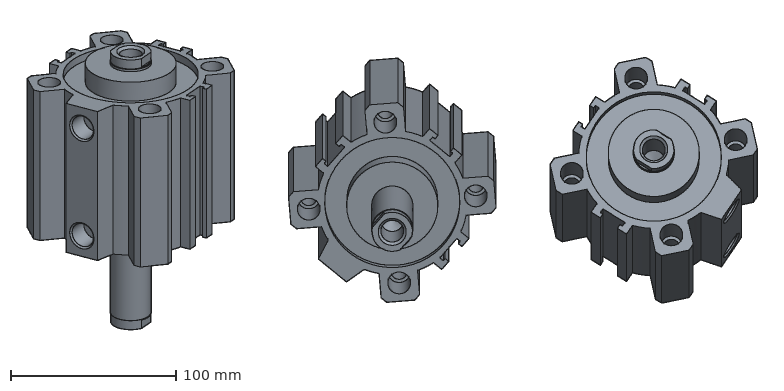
import cadquery as cq
import math


barrel_length = 99.4
barrel_radius = 45.4
half_width = 50.0
recess_radius = 40.9
recess_depth = 5.0
boss_radius = 27.5
boss_height = 7.5

lug_count = 4
lug_width = 23.4
lug_reach = 62.3
screw_offset = 35.8
screw_hole_radius = 4.9
counterbore_radius = 6.8
counterbore_depth = 25.2

rail_angles = (0, 90, 180)
rail_width = 25.5
slot_mouth_width = 12.2
slot_inner_width = 15.8
slot_lip = 2.9
slot_depth = 5.5

foot_reach = 56.0
foot_face_width = 22.3
foot_flank_slope = 0.24
foot_root = 36.0

port_radius = 7.5
port_mouth_radius = 8.6
port_depth = 14.4
port_end_distance = 13.9

rod_length = 180.0
rod_diameter = 25.0
rod_radius = rod_diameter / 2
rod_top_reach = 15.3
tip_radius = 12.2
tip_length = 6.3
tip_chamfer = rod_radius - tip_radius
flat_width = 22.0
flat_length = 5.5

thread_radius = 6.8
thread_mouth_radius = 8.5
thread_depth = 25.2
drill_point_angle = 118

rod_top = barrel_length + rod_top_reach
rod_bottom = rod_top - rod_length
boss_top = barrel_length + boss_height


def cylinder(radius, start, end, x=0, y=0):
    """Solid cylinder along Z between two heights."""
    return cq.Workplane("XY", origin=(x, y, start)).circle(radius).extrude(end - start)


def box_along_x(x_start, x_end, width):
    """Full-height box reaching out along +X, centred on the X axis."""
    length = x_end - x_start
    return cq.Workplane("XY").box(length, width, barrel_length, centered=(False, True, False)).translate(
        (x_start, 0, 0)
    )


def turned(shape, angle):
    """Shape turned about the cylinder axis."""
    return shape.rotate((0, 0, 0), (0, 0, 1), angle)


def add_lugs(body):
    """Diagonal lugs, trimmed flush with the square outline of the housing."""
    outline = cq.Workplane("XY").box(
        2 * half_width, 2 * half_width, barrel_length, centered=(True, True, False)
    )
    lug = box_along_x(0, lug_reach, lug_width)
    for index in range(lug_count):
        angle = 360 / lug_count * (index + 0.5)
        body = body.union(turned(lug, angle).intersect(outline))
    return body


def add_rails(body):
    """Rails, each with an undercut slot along its whole length."""
    rail = box_along_x(0, half_width, rail_width)
    mouth = box_along_x(half_width - slot_depth, half_width, slot_mouth_width)
    undercut = box_along_x(half_width - slot_depth, half_width - slot_lip, slot_inner_width)
    slot = mouth.union(undercut)
    for angle in rail_angles:
        body = body.union(turned(rail, angle)).cut(turned(slot, angle))
    return body


def add_port_foot(body):
    """Tapered foot that carries the two ports."""
    face_half = foot_face_width / 2
    root_half = face_half + foot_flank_slope * (foot_reach - foot_root)
    foot = (
        cq.Workplane("XY")
        .polyline(
            [
                (-face_half, -foot_reach),
                (face_half, -foot_reach),
                (root_half, -foot_root),
                (-root_half, -foot_root),
            ]
        )
        .close()
        .extrude(barrel_length)
    )
    return body.union(foot)


def cut_end_recesses(body):
    """Round recess in both barrel end faces."""
    body = body.cut(cylinder(recess_radius, barrel_length - recess_depth, barrel_length))
    return body.cut(cylinder(recess_radius, 0, recess_depth))


def cut_screw_holes(body):
    """Through hole in every lug, counterbored from both ends."""
    for x in (-screw_offset, screw_offset):
        for y in (-screw_offset, screw_offset):
            body = body.cut(cylinder(screw_hole_radius, 0, barrel_length, x, y))
            body = body.cut(cylinder(counterbore_radius, 0, counterbore_depth, x, y))
            top_start = barrel_length - counterbore_depth
            body = body.cut(cylinder(counterbore_radius, top_start, barrel_length, x, y))
    return body


def cut_ports(body):
    """Blind ports with a chamfered mouth, sunk from the foot face."""
    chamfer = port_mouth_radius - port_radius
    bottom = foot_reach - port_depth
    for height in (port_end_distance, barrel_length - port_end_distance):
        port = (
            cq.Workplane("XY")
            .polyline(
                [
                    (0, -foot_reach),
                    (port_mouth_radius, -foot_reach),
                    (port_radius, -foot_reach + chamfer),
                    (port_radius, -bottom),
                    (0, -bottom),
                ]
            )
            .close()
            .revolve(360, (0, 0, 0), (0, 1, 0))
            .translate((0, 0, height))
        )
        body = body.cut(port)
    return body


def make_housing():
    """Profiled barrel with a round boss at both ends, bored for the rod."""
    body = cylinder(barrel_radius, 0, barrel_length)
    body = add_lugs(body)
    body = add_rails(body)
    body = add_port_foot(body)
    body = cut_end_recesses(body)
    body = body.union(cylinder(boss_radius, -boss_height, boss_top))
    body = cut_screw_holes(body)
    body = cut_ports(body)
    return body.cut(cylinder(rod_radius, -boss_height, boss_top))


def thread_hole():
    """Tapped hole opening upward at z = 0: chamfered mouth and drill point."""
    chamfer = thread_mouth_radius - thread_radius
    point_length = thread_radius / math.tan(math.radians(drill_point_angle / 2))
    return (
        cq.Workplane("XZ")
        .polyline(
            [
                (0, 0),
                (thread_mouth_radius, 0),
                (thread_radius, -chamfer),
                (thread_radius, -thread_depth),
                (0, -thread_depth - point_length),
            ]
        )
        .close()
        .revolve(360, (0, 0, 0), (0, 1, 0))
    )


def wrench_flats():
    """Material removed beside the two flats of a rod end at z = 0."""
    cutter = cylinder(2 * rod_radius, -flat_length, 0)
    core = cq.Workplane("XY").box(flat_width, 4 * rod_radius, 2 * flat_length)
    return cutter.cut(core)


def make_rod():
    """Through rod with the same machined tip at both ends."""
    half_rod = (
        cq.Workplane("XZ")
        .polyline(
            [
                (0, 0),
                (tip_radius, 0),
                (tip_radius, -tip_length + tip_chamfer),
                (rod_radius, -tip_length),
                (rod_radius, -rod_length / 2),
                (0, -rod_length / 2),
            ]
        )
        .close()
        .revolve(360, (0, 0, 0), (0, 1, 0))
        .cut(wrench_flats())
        .cut(thread_hole())
        .translate((0, 0, rod_top))
    )
    middle = (0, 0, (rod_top + rod_bottom) / 2)
    return half_rod.union(half_rod.mirror("XY", middle))


housing = make_housing()
rod = make_rod()

result = cq.Compound.makeCompound([housing.val(), rod.val()])